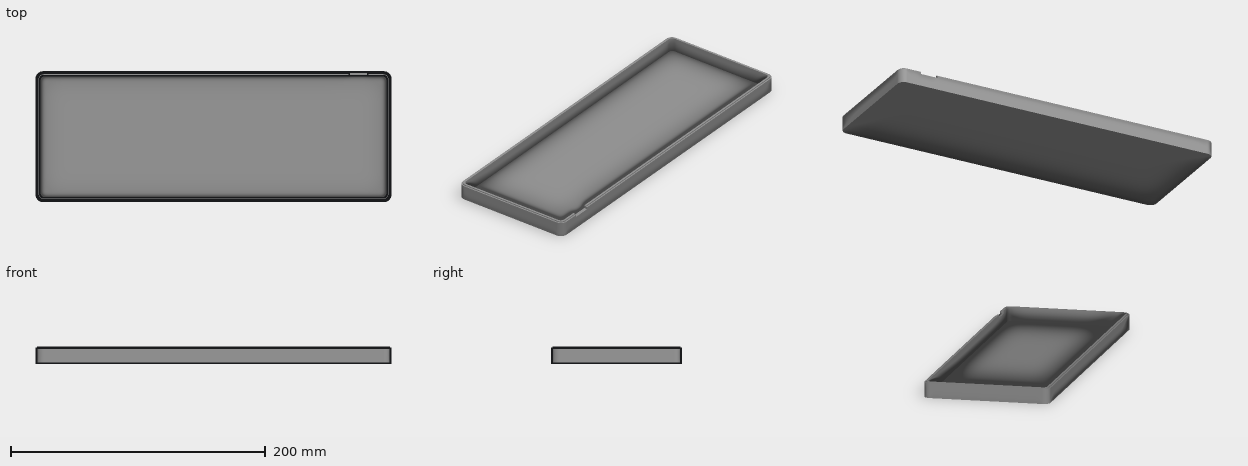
import cadquery as cq

length = 278.0
width = 101.5
height = 12.8
corner_radius = 5.5

wall = 2.8
floor_thickness = 1.25
cavity_corner_radius = 3.3

step_inset = 1.17
step_height = 0.78

notch_length = 14.5
notch_depth = 2.5
notch_end_gap = 18.0


def rounded_block(inset, block_height, radius):
    """Block on Z = 0, smaller than the tray by the inset on every side, with rounded corners."""
    block = cq.Workplane("XY").box(
        length - 2 * inset,
        width - 2 * inset,
        block_height,
        centered=(True, True, False),
    )
    return block.edges("|Z").fillet(radius)


def outer_body():
    """Solid body whose narrower top leaves a step around the rim."""
    base = rounded_block(0, height - step_height, corner_radius)
    lip = rounded_block(step_inset, height, corner_radius - step_inset)
    return base.union(lip)


def cavity():
    """Open interior above the floor."""
    inside = rounded_block(wall, height - floor_thickness, cavity_corner_radius)
    return inside.translate((0, 0, floor_thickness))


def rear_notch():
    """Rectangular cutter that lowers a short stretch of the rear wall."""
    center_x = length / 2 - notch_end_gap - notch_length / 2
    center_y = width / 2 - wall / 2
    cutter = cq.Workplane("XY").box(notch_length, wall, notch_depth)
    return cutter.translate((center_x, center_y, height - notch_depth / 2))


result = outer_body().cut(cavity()).cut(rear_notch())